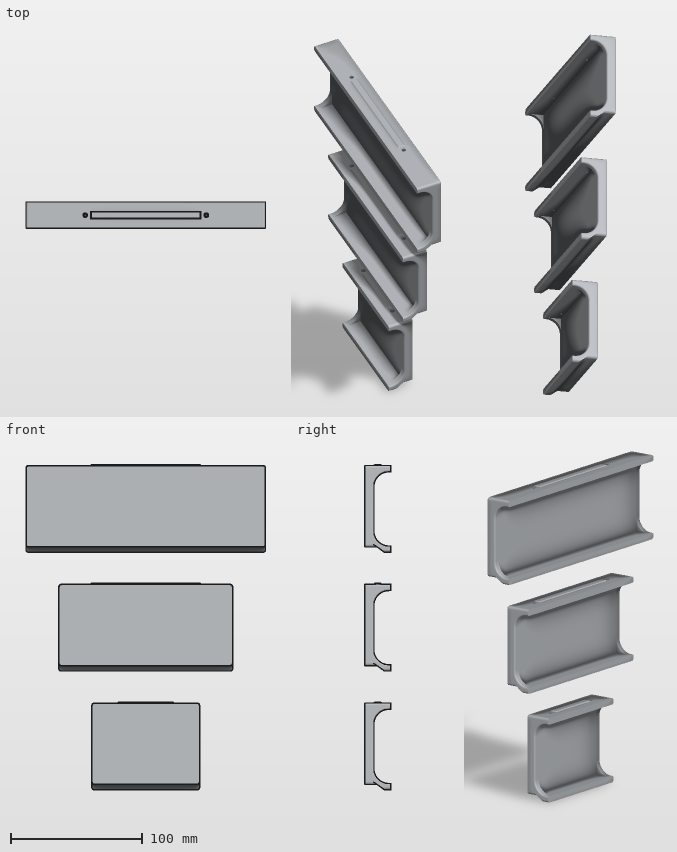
import cadquery as cq
DEPTH = 20.0
HEIGHT = 66.0
WALL = 7.2
FLANGE = 5.0
FRONT_RISE = 4.0
TOE_LENGTH = 5.0
RAMP_START = 10.4

BRACE_RADIUS = 11.0
BRACE_THICKNESS = 5.0

CORNER_RADIUS = 2.0
BRACE_EDGE_RADIUS = 1.2
FRONT_CHAMFER = 0.37

BAR_HEIGHT = 0.7
BAR_WIDTH = 6.0
BAR_TAPER = 45

HOLE_DIAMETER = 3.5
HOLE_GAP = 4.0
HOLE_DEPTH = 3.5

TOTAL_HEIGHT = 246.8
PANELS = [(82.0, 43.0), (132.0, 84.0), (182.0, 84.0)]
PANEL_SPACING = (TOTAL_HEIGHT - HEIGHT - BAR_HEIGHT) / (len(PANELS) - 1)

INNER_TOP = HEIGHT - FLANGE
INNER_BOTTOM = FLANGE


def section_plane(x):
    """Sketch plane across the panel at the given X."""
    return cq.Workplane("YZ", origin=(x, 0, 0))


def outer_shape(length):
    """Outside of a panel: a rounded block with a ramp down to the toe of the lower flange."""
    block_height = HEIGHT - FRONT_RISE
    block = (
        cq.Workplane("XY", origin=(0, DEPTH / 2, FRONT_RISE))
        .box(length, DEPTH, block_height, centered=(True, True, False))
        .edges("|Y")
        .fillet(CORNER_RADIUS)
        .faces("<Y")
        .chamfer(FRONT_CHAMFER)
    )
    ramp_run = RAMP_START - TOE_LENGTH
    toe = (
        section_plane(-length / 2)
        .moveTo(DEPTH - TOE_LENGTH, 0)
        .lineTo(DEPTH, 0)
        .lineTo(DEPTH, 2 * FRONT_RISE)
        .lineTo(DEPTH - TOE_LENGTH - 2 * ramp_run, 2 * FRONT_RISE)
        .close()
        .extrude(length)
        .faces("<Z")
        .edges("|Y")
        .fillet(CORNER_RADIUS)
    )
    return block.union(toe)


def brace_pair(x):
    """Upper and lower corner fills with a concave arc, starting at the given X."""
    upper = (
        section_plane(x)
        .moveTo(WALL, INNER_TOP)
        .lineTo(WALL + BRACE_RADIUS, INNER_TOP)
        .radiusArc((WALL, INNER_TOP - BRACE_RADIUS), -BRACE_RADIUS)
        .close()
        .extrude(BRACE_THICKNESS)
    )
    lower = (
        section_plane(x)
        .moveTo(WALL, INNER_BOTTOM)
        .lineTo(WALL + BRACE_RADIUS, INNER_BOTTOM)
        .radiusArc((WALL, INNER_BOTTOM + BRACE_RADIUS), BRACE_RADIUS)
        .close()
        .extrude(BRACE_THICKNESS)
    )
    return upper.union(lower)


def cavity(length):
    """Open space behind the wall, less the braces at both ends."""
    space = (
        section_plane(-length / 2)
        .moveTo(WALL, INNER_BOTTOM)
        .lineTo(DEPTH, INNER_BOTTOM)
        .lineTo(DEPTH, INNER_TOP)
        .lineTo(WALL, INNER_TOP)
        .close()
        .extrude(length)
    )
    for start in (-length / 2, length / 2 - BRACE_THICKNESS):
        space = space.cut(brace_pair(start))
    return space


def inner_end_edges(body):
    """Edges of the two end faces that border the cavity."""
    return [
        edge
        for side in ("<X", ">X")
        for edge in body.faces(side).edges().vals()
        if WALL / 2 < edge.Center().y < DEPTH - BRACE_EDGE_RADIUS / 10
        and FLANGE / 2 < edge.Center().z < HEIGHT - FLANGE / 2
    ]


def hollow_block(length):
    """Plain block with the cavity cut out and the cavity's end edges rounded."""
    block = cq.Workplane("XY", origin=(0, DEPTH / 2, HEIGHT / 2)).box(length, DEPTH, HEIGHT)
    hollow = block.cut(cavity(length))
    return cq.Workplane(hollow.val().fillet(BRACE_EDGE_RADIUS, inner_end_edges(hollow)))


def top_bar(bar_length):
    return (
        cq.Workplane("XY", origin=(0, DEPTH / 2, HEIGHT))
        .rect(bar_length, BAR_WIDTH)
        .extrude(BAR_HEIGHT, taper=BAR_TAPER)
    )


def top_hole(x):
    """Vertical hole with a hemispherical bottom."""
    radius = HOLE_DIAMETER / 2
    shaft = cq.Workplane("XY").circle(radius).extrude(-HOLE_DEPTH)
    bottom = cq.Workplane("XY").sphere(radius).translate((0, 0, -HOLE_DEPTH))
    return shaft.union(bottom).translate((x, DEPTH / 2, HEIGHT))


def panel(length, bar_length):
    body = hollow_block(length).intersect(outer_shape(length))
    body = body.union(top_bar(bar_length))
    hole_x = bar_length / 2 + HOLE_GAP
    for x in (-hole_x, hole_x):
        body = body.cut(top_hole(x))
    return body


panels = [
    panel(length, bar_length).translate((0, 0, level * PANEL_SPACING))
    for level, (length, bar_length) in enumerate(PANELS)
]

result = cq.Compound.makeCompound([body.val() for body in panels])